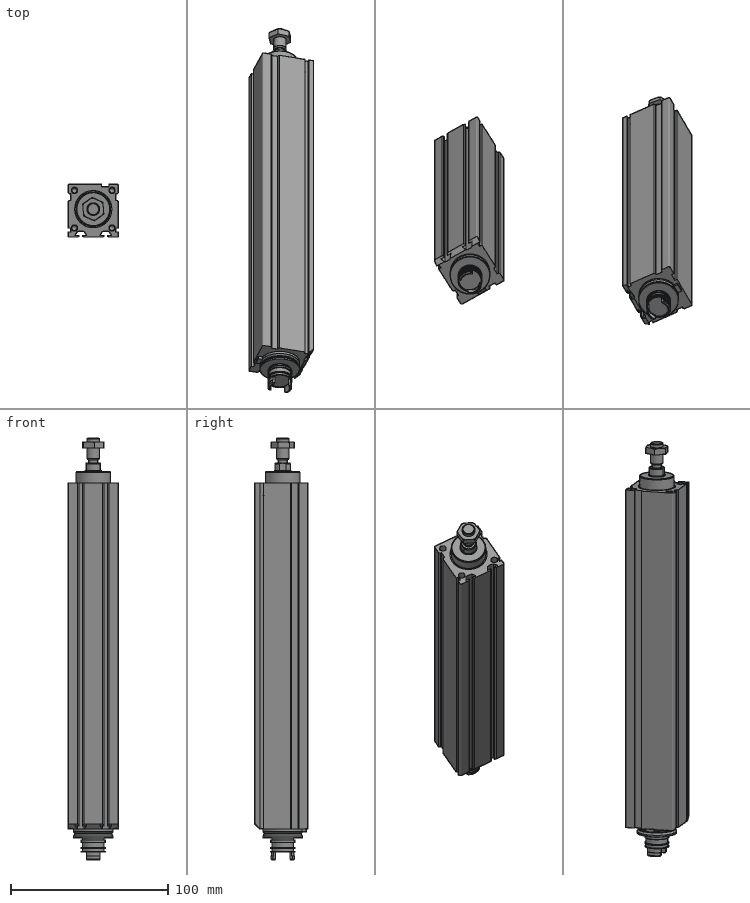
import cadquery as cq
import math

barrel_width = 32.0
barrel_depth = 34.0
barrel_side = barrel_width / 2
barrel_back = barrel_side
barrel_front = barrel_back - barrel_depth
barrel_bottom = 20.0
barrel_top = 240.3
front_bevel = 3.2
barrel_corner_radius = 0.8

groove_depth = 1.5
groove_flare = 0.8
upper_groove_y = (5.6, 9.7)
lower_groove_y = (-14.5, -12.0)
back_groove_x = (5.5, 10.0)

slot_spacing = 15.9
slot_mouth = 4.3
slot_mouth_depth = 0.5
slot_neck = 2.5
slot_lip = 1.2
slot_cavity = 7.3
slot_shoulder = 4.3
slot_shoulder_depth = 3.5
slot_floor = 2.2
slot_depth = 3.8

hole_spacing = 24.0
hole_diameter = 4.0
hole_core = 3.2
hole_thread_depth = 8.0
drill_tip_angle = 118

bush_diameter = 22.0
bush_top = 247.5
bush_chamfer = 0.5
bush_flange_diameter = 23.7
bush_flange_thickness = 2.7
wiper_diameter = 10.8
wiper_top = 248.0
rod_diameter = 10.0
rod_flats = 9.1
rod_bottom = barrel_top - bush_flange_thickness
rod_top = 253.0
rod_chamfer = 0.5
neck_diameter = 6.0
stud_diameter = 8.0
stud_bottom = 254.8
stud_top = 268.8
stud_top_chamfer = 0.5
stud_bottom_chamfer = 0.95

nut_across_flats = 13.0
nut_bottom = 262.3
nut_thickness = 4.0
nut_sides = 6
nut_turn = 5
nut_corner_chamfer = 0.5

collar_radius = 12.5
waist_radius = 11.8
collar_bottom = 14.2
collar_rim = 1.0
waist_top = 17.2
waist_bottom = 16.7
waist_taper = 1.0
lug_width = 5.5
lug_height = 2.0
lug_outer_y = 15.0

plug_diameter = 14.0
plug_bottom = 5.5
rib_diameter = 15.3
rib_spans = ((11.3, 13.0), (7.5, 8.0), (5.5, 5.6))
prong_outer_diameter = 14.5
prong_inner_diameter = 12.5
prong_lip_diameter = 15.0
prong_lip_top = 2.7
prong_width = 9.0
prong_chamfer = 0.8


def block(x_range, y_range, bottom, top):
    """Upright box between the given limits."""
    size_x = x_range[1] - x_range[0]
    size_y = y_range[1] - y_range[0]
    return (
        cq.Workplane("XY", origin=(x_range[0], y_range[0], bottom))
        .box(size_x, size_y, top - bottom, centered=False)
    )


def cylinder(diameter, bottom, top):
    """Upright cylinder on the Z axis."""
    return cq.Workplane("XY").workplane(offset=bottom).circle(diameter / 2).extrude(top - bottom)


def turned(profile):
    """Solid of revolution about Z from (radius, height) points."""
    return cq.Workplane("XZ").polyline(profile).close().revolve(360, (0, 0, 0), (0, 1, 0))


def side_groove_flare():
    """Widening at the mouth of the upper groove on the +X side."""
    start, end = upper_groove_y
    inner_x = barrel_side - groove_flare
    return (
        cq.Workplane("XY", origin=(0, 0, barrel_bottom))
        .polyline([
            (barrel_side, start - groove_flare),
            (barrel_side, end + groove_flare),
            (inner_x, end),
            (inner_x, start),
        ])
        .close()
        .extrude(barrel_top - barrel_bottom)
    )


def barrel_grooves():
    """Full-length grooves in the two sides and the back."""
    floor_x = barrel_side - groove_depth
    flare = side_groove_flare()
    grooves = block(back_groove_x, (barrel_back - groove_depth, barrel_back), barrel_bottom, barrel_top)
    grooves = grooves.union(flare).union(flare.mirror("YZ"))
    for y_range in (upper_groove_y, lower_groove_y):
        for x_range in ((-barrel_side, -floor_x), (floor_x, barrel_side)):
            grooves = grooves.union(block(x_range, y_range, barrel_bottom, barrel_top))
    return grooves


def sensor_slot(x):
    """Undercut slot with a flared mouth, open at the front wall."""
    right_side = [
        (slot_mouth / 2, 0),
        (slot_neck / 2, slot_mouth_depth),
        (slot_neck / 2, slot_lip),
        (slot_cavity / 2, slot_lip),
        (slot_shoulder / 2, slot_shoulder_depth),
        (slot_floor / 2, slot_depth),
    ]
    left_side = [(-half, depth) for half, depth in reversed(right_side)]
    return (
        cq.Workplane("XY", origin=(x, barrel_front, barrel_bottom))
        .polyline(right_side + left_side)
        .close()
        .extrude(barrel_top - barrel_bottom)
    )


def mounting_hole(x, y):
    """Threaded bore that ends in a drill point."""
    radius = hole_core / 2
    thread_end = barrel_top - hole_thread_depth
    tip = thread_end - radius / math.tan(math.radians(drill_tip_angle / 2))
    profile = [
        (0, barrel_top),
        (hole_diameter / 2, barrel_top),
        (hole_diameter / 2, thread_end),
        (radius, thread_end),
        (0, tip),
    ]
    return turned(profile).translate((x, y, 0))


def front_bevel_cut():
    """Wedge that bevels the lower front edge at 45 degrees."""
    return (
        cq.Workplane("YZ", origin=(-barrel_side, 0, 0))
        .polyline([
            (barrel_front, barrel_bottom),
            (barrel_front + front_bevel, barrel_bottom),
            (barrel_front, barrel_bottom + front_bevel),
        ])
        .close()
        .extrude(barrel_width)
    )


def bush_flange():
    """Disc let into the barrel, flush with its top face."""
    return cylinder(bush_flange_diameter, barrel_top - bush_flange_thickness, barrel_top)


def make_barrel():
    barrel = block((-barrel_side, barrel_side), (barrel_front, barrel_back), barrel_bottom, barrel_top)
    barrel = barrel.edges("|Z").fillet(barrel_corner_radius)
    barrel = barrel.cut(front_bevel_cut())
    barrel = barrel.cut(barrel_grooves())
    for x in (-slot_spacing / 2, slot_spacing / 2):
        barrel = barrel.cut(sensor_slot(x))
    for x in (-hole_spacing / 2, hole_spacing / 2):
        for y in (-hole_spacing / 2, hole_spacing / 2):
            barrel = barrel.cut(mounting_hole(x, y))
    return barrel.cut(bush_flange())


def make_bush():
    bush = cylinder(bush_diameter, barrel_top, bush_top).faces(">Z").chamfer(bush_chamfer)
    return bush.union(bush_flange()).cut(rod_shank())


def make_wiper():
    return cylinder(wiper_diameter, bush_top, wiper_top).cut(rod_shank())


def rod_shank():
    """Rod below its neck, with two wrench flats facing -X and +X."""
    flats = block(
        (-rod_flats / 2, rod_flats / 2),
        (-rod_diameter / 2, rod_diameter / 2),
        rod_bottom,
        rod_top,
    )
    shank = cylinder(rod_diameter, rod_bottom, rod_top).faces(">Z").chamfer(rod_chamfer)
    return shank.intersect(flats)


def make_rod():
    neck = cylinder(neck_diameter, rod_top, stud_bottom)
    stud = cylinder(stud_diameter, stud_bottom, stud_top)
    stud = stud.faces(">Z").chamfer(stud_top_chamfer)
    stud = stud.faces("<Z").chamfer(stud_bottom_chamfer)
    return rod_shank().union(neck).union(stud)


def make_nut():
    corner_diameter = nut_across_flats / math.cos(math.pi / nut_sides)
    nut = (
        cq.Workplane("XY")
        .workplane(offset=nut_bottom)
        .polygon(nut_sides, corner_diameter)
        .extrude(nut_thickness)
        .rotate((0, 0, 0), (0, 0, 1), 180 / nut_sides + nut_turn)
    )
    rounding = cylinder(corner_diameter, nut_bottom, nut_bottom + nut_thickness)
    rounding = rounding.faces(">Z").chamfer(nut_corner_chamfer)
    bore = cylinder(stud_diameter, nut_bottom, nut_bottom + nut_thickness)
    return nut.intersect(rounding).cut(bore)


def make_collar():
    profile = [
        (0, collar_bottom),
        (collar_radius, collar_bottom),
        (collar_radius, collar_bottom + collar_rim),
        (waist_radius, waist_bottom),
        (waist_radius, waist_top),
        (collar_radius, waist_top + waist_taper),
        (collar_radius, barrel_bottom),
        (0, barrel_bottom),
    ]
    lug = block((-lug_width / 2, lug_width / 2), (0, lug_outer_y), barrel_bottom - lug_height, barrel_bottom)
    return turned(profile).union(lug)


def make_connector():
    plug = cylinder(plug_diameter, plug_bottom, collar_bottom)
    for rib_bottom, rib_top in rib_spans:
        plug = plug.union(cylinder(rib_diameter, rib_bottom, rib_top))
    return plug.union(make_prongs())


def make_prongs():
    """Two facing strips of a tube with an outward lip at the tip."""
    tip = cylinder(prong_lip_diameter, 0, prong_lip_top).faces("<Z").chamfer(prong_chamfer)
    tube = (
        cylinder(prong_outer_diameter, prong_lip_top, plug_bottom)
        .union(tip)
        .cut(cylinder(prong_inner_diameter, 0, plug_bottom))
    )
    half_width = prong_width / 2
    reach = prong_lip_diameter / 2
    strip = block((-half_width, half_width), (-reach, reach), 0, plug_bottom)
    return tube.intersect(strip.faces("<Z").edges("|Y").chamfer(prong_chamfer))


barrel = make_barrel()
bush = make_bush()
wiper = make_wiper()
rod = make_rod()
nut = make_nut()
collar = make_collar()
connector = make_connector()

bodies = (barrel, bush, wiper, rod, nut, collar, connector)
result = cq.Compound.makeCompound([body.val() for body in bodies])